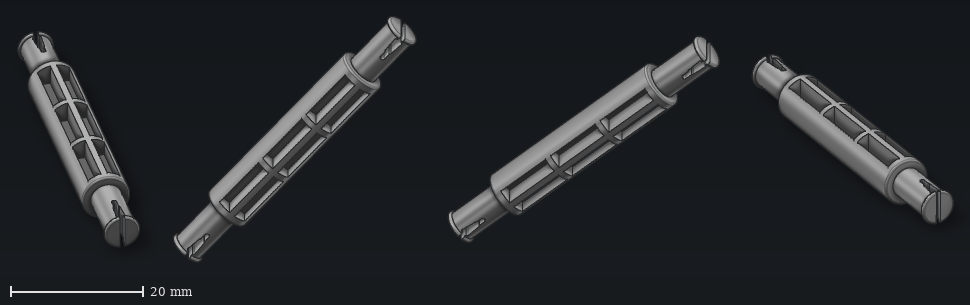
import cadquery as cq

LENGTH = 50.2
BODY_LENGTH = 31.6
BODY_DIAMETER = 7.5
BODY_EDGE_FILLET = 0.3
SHAFT_DIAMETER = 4.88

BEAD_RADIUS = 0.35

WINDOW_LENGTH = 9.0
WINDOW_WIDTH = 2.0
WINDOW_COUNT = 3
RIB_THICKNESS = 1.0

SLIT_WIDTH = 0.75
SLOT_LENGTH = 5.1
SLOT_END_FILLET = 0.3
LIP_LENGTH = 1.0
LIP_CORNER_FILLET = 0.15
WIDE_WIDTH = 1.4
TAPER_WIDTH = 1.04
TAPER_END = 3.5
SHOULDER_LENGTH = 0.25

HALF_LENGTH = LENGTH / 2


def cylinder_along_x(diameter, length):
    """Cylinder on the X axis, centred on the origin."""
    return cq.Workplane("YZ").workplane(offset=-length / 2).circle(diameter / 2).extrude(length)


def make_body():
    return cylinder_along_x(BODY_DIAMETER, BODY_LENGTH).edges().fillet(BODY_EDGE_FILLET)


def make_collar(side):
    """Half-round bead flush with the shaft end on the given side (+1 or -1)."""
    shaft_radius = SHAFT_DIAMETER / 2
    bead_centre = side * (HALF_LENGTH - BEAD_RADIUS)
    inner_x = bead_centre - BEAD_RADIUS
    outer_x = bead_centre + BEAD_RADIUS
    return (
        cq.Workplane("XY")
        .moveTo(inner_x, 0)
        .lineTo(inner_x, shaft_radius)
        .threePointArc((bead_centre, shaft_radius + BEAD_RADIUS), (outer_x, shaft_radius))
        .lineTo(outer_x, 0)
        .close()
        .revolve(360, (0, 0, 0), (1, 0, 0))
    )


def make_windows():
    """Pockets in the top and bottom faces, separated by ribs and the central web."""
    pitch = WINDOW_LENGTH + RIB_THICKNESS
    row_offset = (RIB_THICKNESS + WINDOW_WIDTH) / 2
    depth = (BODY_DIAMETER - RIB_THICKNESS) / 2
    level = (RIB_THICKNESS + depth) / 2
    first = -pitch * (WINDOW_COUNT - 1) / 2
    centres = [
        (first + column * pitch, row * row_offset, face * level)
        for column in range(WINDOW_COUNT)
        for row in (-1, 1)
        for face in (-1, 1)
    ]
    window = cq.Workplane("XY").box(WINDOW_LENGTH, WINDOW_WIDTH, depth)
    windows = cq.Workplane("XY")
    for centre in centres:
        windows = windows.union(window.translate(centre))
    return windows


def make_slot(side):
    """Vertical through slot: narrow mouth, wide taper, shoulder, rounded slit end."""
    lip_x = HALF_LENGTH - LIP_LENGTH
    taper_x = HALF_LENGTH - TAPER_END
    slit_x = taper_x - SHOULDER_LENGTH
    end_x = HALF_LENGTH - SLOT_LENGTH
    half_slit = SLIT_WIDTH / 2
    half_wide = WIDE_WIDTH / 2
    half_taper = TAPER_WIDTH / 2
    slot = (
        cq.Workplane("XY")
        .moveTo(HALF_LENGTH, half_slit)
        .lineTo(lip_x, half_slit)
        .lineTo(lip_x, half_wide)
        .lineTo(taper_x, half_taper)
        .lineTo(slit_x, half_slit)
        .lineTo(end_x, half_slit)
        .lineTo(end_x, -half_slit)
        .lineTo(slit_x, -half_slit)
        .lineTo(taper_x, -half_taper)
        .lineTo(lip_x, -half_wide)
        .lineTo(lip_x, -half_slit)
        .lineTo(HALF_LENGTH, -half_slit)
        .close()
        .extrude(BODY_DIAMETER / 2, both=True)
        .edges("|Z and <X")
        .fillet(SLOT_END_FILLET)
        .edges("|Z and (<Y or >Y)")
        .fillet(LIP_CORNER_FILLET)
    )
    return slot if side > 0 else slot.mirror("YZ")


result = make_body().union(cylinder_along_x(SHAFT_DIAMETER, LENGTH)).cut(make_windows())
for end in (-1, 1):
    result = result.union(make_collar(end)).cut(make_slot(end))